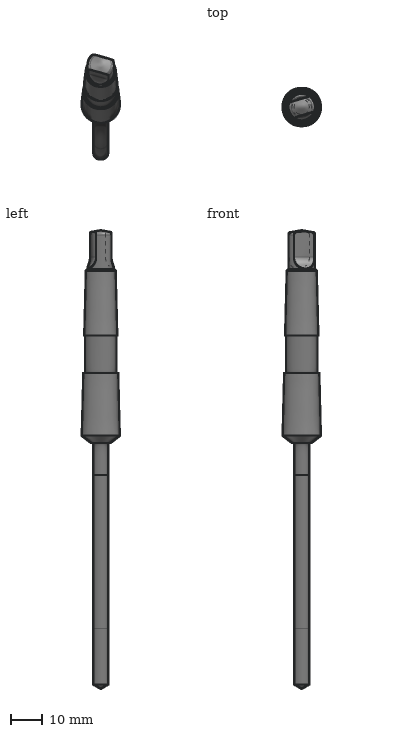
import cadquery as cq
import math

drill_radius = 4.8 / 2
point_angle = 118.0
point_height = drill_radius / math.tan(math.radians(point_angle / 2))
cutting_length = 19.3
drill_length = 68.0

shoulder_bottom = 78.3
taper_bottom = 80.6
relief_bottom = 100.6
relief_top = 112.5
taper_top = 133.0
overall_length = 146.0
taper_bottom_radius = 12.3 / 2
shoulder_face_radius = taper_bottom_radius / 2
relief_radius = 10.1 / 2
taper_ratio = 0.05

tang_radius = 4.2
tang_thickness = 5.1
tang_angle = 17.0
tang_flat_bottom = 137.6
runout_radius = 5.0
end_cone_height = 0.6
end_rounding = 0.9


def taper_radius(z):
    """Radius of the Morse taper at height z."""
    return taper_bottom_radius - (z - taper_bottom) * taper_ratio / 2


def turn(outline):
    """Turn a closed (radius, z) outline about Z; in-line faces stay separate."""
    return outline.revolve(360, (0, 0), (0, 1), clean=False)


def make_drill():
    """Cutting end and fluted length, with equal diameters and separate faces."""
    outline = cq.Workplane("XZ").polyline([
        (0, 0),
        (drill_radius, point_height),
        (drill_radius, cutting_length),
        (drill_radius, drill_length),
        (0, drill_length),
    ]).close()
    return turn(outline)


def make_shank_blank():
    """Turned shank, from the drill end up to the conical end of the tang."""
    taper_top_radius = taper_radius(taper_top)
    tang_bottom = taper_top + taper_top_radius - tang_radius
    end_cone_bottom = overall_length - end_cone_height
    end_cone_radius = tang_radius - end_rounding
    diagonal = end_rounding * math.sqrt(0.5)
    lower_points = [
        (0, drill_length),
        (drill_radius, drill_length),
        (drill_radius, shoulder_bottom),
        (shoulder_face_radius, shoulder_bottom),
        (taper_bottom_radius, taper_bottom),
        (taper_radius(relief_bottom), relief_bottom),
        (relief_radius, relief_bottom),
        (relief_radius, relief_top),
        (taper_radius(relief_top), relief_top),
        (taper_top_radius, taper_top),
        (tang_radius, tang_bottom),
        (tang_radius, end_cone_bottom - end_rounding),
    ]
    outline = (
        cq.Workplane("XZ")
        .polyline(lower_points)
        .threePointArc(
            (end_cone_radius + diagonal, end_cone_bottom - end_rounding + diagonal),
            (end_cone_radius, end_cone_bottom),
        )
        .lineTo(0, overall_length)
        .close()
    )
    return turn(outline)


def make_flat_cutter():
    """Cutter for one tang flat, with a round runout that leaves the bar at its foot."""
    flat_y = tang_thickness / 2
    runout_y = flat_y + runout_radius
    diagonal = runout_radius * math.sqrt(0.5)
    return (
        cq.Workplane("YZ")
        .moveTo(flat_y, overall_length)
        .lineTo(flat_y, tang_flat_bottom)
        .threePointArc(
            (runout_y - diagonal, tang_flat_bottom - diagonal),
            (runout_y, tang_flat_bottom - runout_radius),
        )
        .lineTo(runout_y, overall_length)
        .close()
        .extrude(2 * tang_radius, both=True)
    )


def make_shank():
    """Shank with the two opposite tang flats cut."""
    shank = make_shank_blank()
    for flat_angle in (tang_angle, tang_angle + 180):
        shank = shank.cut(make_flat_cutter().rotate((0, 0, 0), (0, 0, 1), flat_angle))
    return shank


drill = make_drill()
shank = make_shank()

result = cq.Compound.makeCompound([drill.val(), shank.val()])